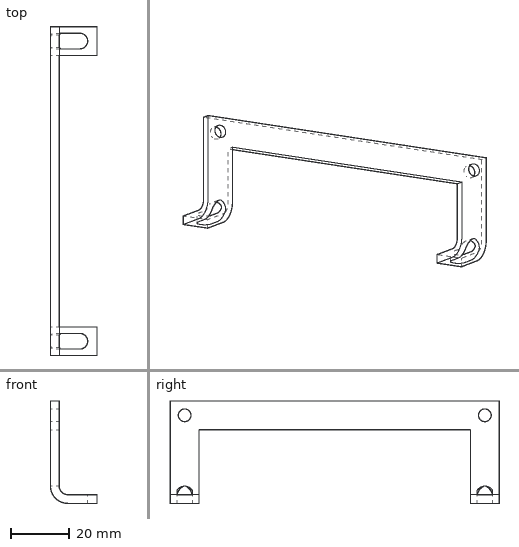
import cadquery as cq
import math

length = 113.0
height = 35.3
depth = 16.0

thickness = 3.0
inner_bend_radius = 2.9
outer_bend_radius = inner_bend_radius + thickness

leg_width = 10.0
bar_height = 10.0
leg_centers = [-(length - leg_width) / 2, (length - leg_width) / 2]

hole_diameter = 4.3
hole_drop = 5.0

slot_width = 5.3
slot_radius = slot_width / 2
slot_end = 12.8
bend_angle = 90
bend_slot_end_angle = bend_angle
wrap_radius = 4.3
end_steps = 12


def bent_sheet():
    """L-shaped sheet with a rounded bend, extruded along Y and centred on it."""
    profile = (
        cq.Workplane("XZ")
        .moveTo(0, height)
        .lineTo(0, outer_bend_radius)
        .radiusArc((outer_bend_radius, 0), -outer_bend_radius)
        .lineTo(depth, 0)
        .lineTo(depth, thickness)
        .lineTo(outer_bend_radius, thickness)
        .radiusArc((thickness, outer_bend_radius), inner_bend_radius)
        .lineTo(thickness, height)
        .close()
    )
    return profile.extrude(length / 2, both=True)


def leg_gap():
    """Opening between the two legs, below the top bar."""
    return cq.Workplane("XY").box(
        depth, length - 2 * leg_width, height - bar_height, centered=(False, True, False)
    )


def plate_hole(y):
    """Round hole through the upright plate."""
    return (
        cq.Workplane("YZ")
        .center(y, height - hole_drop)
        .circle(hole_diameter / 2)
        .extrude(thickness)
    )


def foot_slot(y):
    """Round-ended slot cut vertically through the flat foot, starting where the bend ends."""
    straight_end = slot_end - slot_radius
    return (
        cq.Workplane("XY")
        .moveTo(outer_bend_radius, y - slot_radius)
        .lineTo(straight_end, y - slot_radius)
        .radiusArc((straight_end, y + slot_radius), -slot_radius)
        .lineTo(outer_bend_radius, y + slot_radius)
        .close()
        .extrude(thickness)
    )


def bend_slot(y):
    """Continuation of the slot around the bend, with radial walls and a wrapped round end.

    The rays from the bend axis meet two parallel planes; lofting between the slot
    outlines on those planes gives walls that all point at the bend axis.
    """
    bisector = cq.Plane(
        origin=(outer_bend_radius, y, outer_bend_radius),
        xDir=(-1, 0, 1),
        normal=(-1, 0, -1),
    )
    end_center_angle = bend_slot_end_angle - math.degrees(slot_radius / wrap_radius)

    def outline(distance):
        def across(angle):
            return distance * math.tan(math.radians(angle - bend_angle / 2))

        end_points = []
        for step in range(end_steps + 1):
            turn = math.pi * (step / end_steps - 0.5)
            reach = math.degrees(slot_radius * math.cos(turn) / wrap_radius)
            end_points.append((across(end_center_angle + reach), slot_radius * math.sin(turn)))
        return (
            cq.Workplane(bisector)
            .workplane(offset=distance)
            .moveTo(across(0), -slot_radius)
            .lineTo(*end_points[0])
            .spline(end_points[1:], includeCurrent=True)
            .lineTo(across(0), slot_radius)
            .close()
            .val()
        )

    near_distance = inner_bend_radius / 2
    far_distance = outer_bend_radius + thickness
    return cq.Solid.makeLoft([outline(near_distance), outline(far_distance)], True)


result = bent_sheet().cut(leg_gap())
for center in leg_centers:
    result = result.cut(plate_hole(center))
    result = result.cut(foot_slot(center))
    result = result.cut(cq.Workplane(bend_slot(center)))